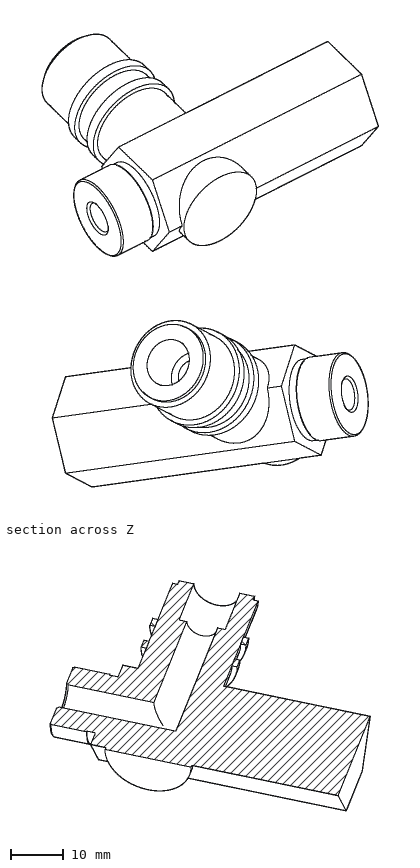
import cadquery as cq
import math


hex_across_flats = 19.0
hex_across_corners = hex_across_flats / math.cos(math.pi / 6)
hex_front_y = -11.5
hex_length = 48.9

overall_length = 57.85
stud_diameter = 16.0
stud_edge_chamfer = 0.3
neck_diameter = 15.6
neck_length = 1.6
stud_front_y = hex_front_y - (overall_length - hex_length)
stud_back_y = hex_front_y - neck_length

tube_diameter = 17.0
tube_end_x = 11.5
nose_tip_x = -35.5
nose_diameter = 15.0
nose_length = 1.0
tube_start_x = nose_tip_x + nose_length

passage_diameter = 6.0
stud_mouth_chamfer = 0.45
socket_diameter = 9.0
socket_depth = 10.0

ring_outer_diameter = hex_across_flats
ring_width = 2.0
ring_offsets_from_nose = (11.0, 17.0)


def cylinder_x(diameter, start_x, end_x):
    """Cylinder along the X axis."""
    return cq.Workplane("YZ", origin=(start_x, 0, 0)).circle(diameter / 2).extrude(end_x - start_x)


def cylinder_y(diameter, start_y, end_y):
    """Cylinder along the Y axis."""
    return cq.Workplane("XZ", origin=(0, end_y, 0)).circle(diameter / 2).extrude(end_y - start_y)


def make_hex_bar():
    """Bar with flats at top and bottom and corners at its sides."""
    back_y = hex_front_y + hex_length
    return cq.Workplane("XZ", origin=(0, back_y, 0)).polygon(6, hex_across_corners).extrude(hex_length)


def make_stud():
    """Stud with a bevelled front rim, joined to the bar by its neck."""
    thread = cylinder_y(stud_diameter, stud_front_y, stud_back_y).faces("<Y").chamfer(stud_edge_chamfer)
    return thread.union(cylinder_y(neck_diameter, stud_back_y, 0))


def make_tube():
    """Tube passing through the bar, with its stepped nose."""
    nose = cylinder_x(nose_diameter, nose_tip_x, 0)
    return cylinder_x(tube_diameter, tube_start_x, tube_end_x).union(nose)


def make_passage():
    """Mitred elbow bore, socketed at the nose and countersunk at the stud."""
    elbow_path = cq.Workplane("XY").polyline([(nose_tip_x, 0), (0, 0), (0, stud_front_y)])
    elbow = (
        cq.Workplane("YZ", origin=(nose_tip_x, 0, 0))
        .circle(passage_diameter / 2)
        .sweep(elbow_path, transition="right")
    )
    socket = cylinder_x(socket_diameter, nose_tip_x, nose_tip_x + socket_depth)
    countersink = cq.Workplane("XY").add(
        cq.Solid.makeCone(
            passage_diameter / 2 + stud_mouth_chamfer,
            passage_diameter / 2,
            stud_mouth_chamfer,
            pnt=cq.Vector(0, stud_front_y, 0),
            dir=cq.Vector(0, 1, 0),
        )
    )
    return elbow.union(socket).union(countersink)


def make_body():
    """Bar, stud and tube in one piece, bored through by the passage."""
    return make_hex_bar().union(make_stud()).union(make_tube()).cut(make_passage())


def make_ring(offset):
    """Flat ring fitted on the tube, at a distance from the nose tip."""
    start_x = nose_tip_x + offset
    end_x = start_x + ring_width
    return cylinder_x(ring_outer_diameter, start_x, end_x).cut(cylinder_x(tube_diameter, start_x, end_x))


body = make_body()
rings = [make_ring(offset) for offset in ring_offsets_from_nose]

result = cq.Compound.makeCompound([body.solids().val(), *[ring.solids().val() for ring in rings]])